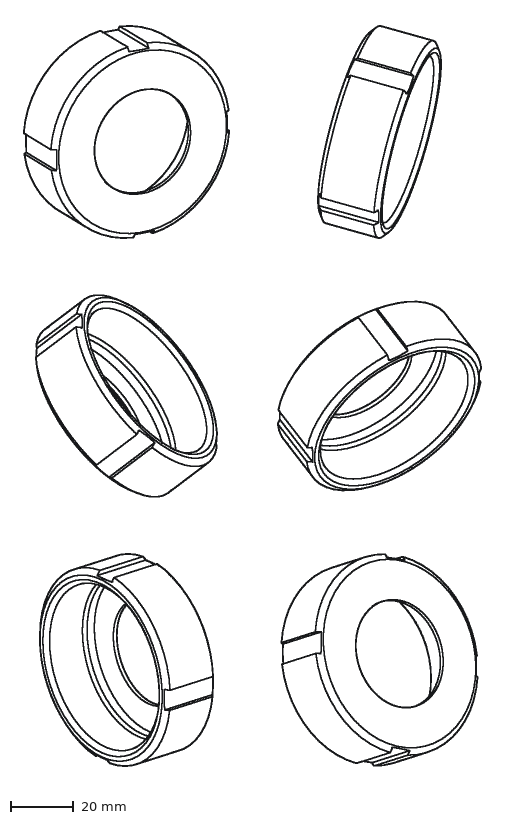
import cadquery as cq
import math

length = 21.0
span = 64.95

slot_count = 4
slot_width = 7.0
slot_offset = 1.05
slot_floor_radius = 31.0
slot_near_edge = slot_width / 2 - slot_offset

outer_radius = math.hypot(span / 2, slot_near_edge)

end_face_radius = 30.5
bevel_length = 1.6

mouth_radius = 29.05
mouth_bevel_length = 1.5
bore_radius = 27.5
bore_end = 15.0
seat_radius = 26.95
seat_taper_length = 1.5
wall_thickness = 1.5
hole_radius = 17.5


def make_ring():
    """Revolve the half section (distance along X, radius) about the X axis."""
    open_face = -length / 2
    back_face = length / 2
    wall_face = back_face - wall_thickness
    section = [
        (open_face, mouth_radius),
        (open_face, end_face_radius),
        (open_face + bevel_length, outer_radius),
        (back_face - bevel_length, outer_radius),
        (back_face, end_face_radius),
        (back_face, hole_radius),
        (wall_face, hole_radius),
        (wall_face, seat_radius),
        (open_face + bore_end + seat_taper_length, seat_radius),
        (open_face + bore_end, bore_radius),
        (open_face + mouth_bevel_length, bore_radius),
    ]
    return cq.Workplane("XY").polyline(section).close().revolve(360, (0, 0, 0), (1, 0, 0))


def make_slot_cutter():
    """Block that cuts the slot at the top of the rim along the full length."""
    height = outer_radius
    center_z = slot_floor_radius + height / 2
    return cq.Workplane("XY").box(length, slot_width, height).translate((0, -slot_offset, center_z))


result = make_ring()
slot_cutter = make_slot_cutter()
for index in range(slot_count):
    angle = index * 360 / slot_count
    result = result.cut(slot_cutter.rotate((0, 0, 0), (1, 0, 0), angle))